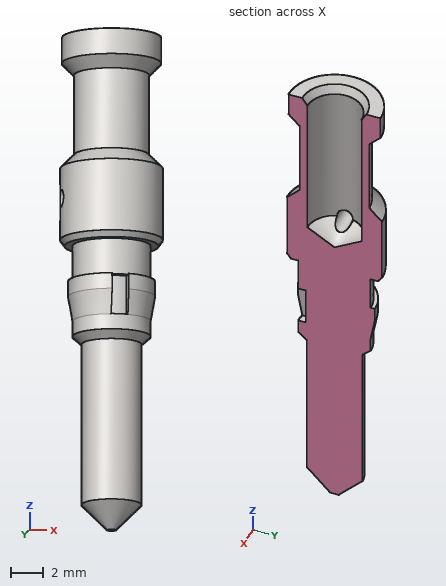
import cadquery as cq
import math

LENGTH = 30.8

TIP_RADIUS = 0.28
PIN_RADIUS = 1.85
SHAFT_RADIUS = 2.4
BODY_RADIUS = 3.157
NECK_RADIUS = 2.3
FLANGE_RADIUS = 3.05

TIP_CONE_TOP = 1.57
PIN_TOP = 11.6
SHAFT_BOTTOM = 12.1
BODY_BOTTOM = 17.77
BODY_TOP = 22.6
NECK_BOTTOM = BODY_TOP + BODY_RADIUS - NECK_RADIUS
FLANGE_BOTTOM = 29.2
NECK_TOP = FLANGE_BOTTOM - (FLANGE_RADIUS - NECK_RADIUS)
BODY_CHAMFER = 0.37
BODY_CHAMFER_WIDTH = 0.28

RING_BOTTOM = 13.05
RING_TAPER_TOP = 14.6
RING_TOP = 15.55
RING_RADIUS = 2.68
GROOVE_RADIUS = 1.9
SPLIT_WIDTH = 1.05

SOCKET_RADIUS = 1.8
SOCKET_DEPTH = 10.15
DRILL_POINT_ANGLE = 120
SOCKET_MOUTH_RADIUS = 2.13
MOUTH_DEPTH = 0.52
INSPECTION_RADIUS = 0.52


def revolve_profile(points):
    """Revolve (radius, height) points about Z."""
    return cq.Workplane("XZ").polyline(points).close().revolve(360, (0, 0, 0), (0, 1, 0))


def turned_body():
    return revolve_profile([
        (0, 0),
        (TIP_RADIUS, 0),
        (PIN_RADIUS, TIP_CONE_TOP),
        (PIN_RADIUS, PIN_TOP),
        (SHAFT_RADIUS, SHAFT_BOTTOM),
        (SHAFT_RADIUS, BODY_BOTTOM),
        (BODY_RADIUS - BODY_CHAMFER_WIDTH, BODY_BOTTOM),
        (BODY_RADIUS, BODY_BOTTOM + BODY_CHAMFER),
        (BODY_RADIUS, BODY_TOP),
        (NECK_RADIUS, NECK_BOTTOM),
        (NECK_RADIUS, NECK_TOP),
        (FLANGE_RADIUS, FLANGE_BOTTOM),
        (FLANGE_RADIUS, LENGTH),
        (0, LENGTH),
    ])


def retaining_ring():
    return revolve_profile([
        (GROOVE_RADIUS, RING_BOTTOM),
        (SHAFT_RADIUS, RING_BOTTOM),
        (RING_RADIUS, RING_TAPER_TOP),
        (RING_RADIUS, RING_TOP),
        (GROOVE_RADIUS, RING_TOP),
    ])


def ring_split():
    """Gap in the ring, reaching in to the floor of the groove."""
    height = RING_TOP - RING_BOTTOM
    gap = (
        cq.Workplane("XY", origin=(0, -BODY_RADIUS / 2, RING_BOTTOM))
        .rect(SPLIT_WIDTH, BODY_RADIUS)
        .extrude(height)
    )
    groove_core = cq.Workplane("XY", origin=(0, 0, RING_BOTTOM)).circle(GROOVE_RADIUS).extrude(height)
    return gap.cut(groove_core)


def wire_socket():
    """Drilled bore with a conical end and a countersunk mouth."""
    cone_top = LENGTH - SOCKET_DEPTH
    cone_depth = SOCKET_RADIUS / math.tan(math.radians(DRILL_POINT_ANGLE / 2))
    return revolve_profile([
        (0, cone_top - cone_depth),
        (SOCKET_RADIUS, cone_top),
        (SOCKET_RADIUS, LENGTH - MOUTH_DEPTH),
        (SOCKET_MOUTH_RADIUS, LENGTH),
        (0, LENGTH),
    ])


def inspection_hole():
    """Radial hole from the -X side into the end of the socket."""
    hole_height = LENGTH - SOCKET_DEPTH
    return (
        cq.Workplane("YZ", origin=(-BODY_RADIUS, 0, hole_height))
        .circle(INSPECTION_RADIUS)
        .extrude(BODY_RADIUS)
    )


result = (
    turned_body()
    .union(retaining_ring())
    .cut(ring_split())
    .cut(wire_socket())
    .cut(inspection_hole())
)